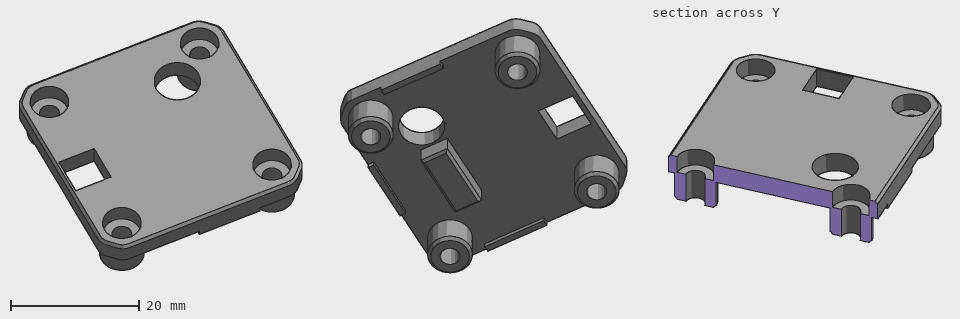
import cadquery as cq

LENGTH_X = 35.03
LENGTH_Y = 35.13
TOTAL_HEIGHT = 8.25
PLATE_THICKNESS = 3.35
CORNER_CUT = 2.7
CORNER_RADIUS = 2.5
TOP_CHAMFER = 0.45

POST_PITCH = 26.0
POST_DIAMETER = 7.0
POST_CHAMFER = 0.5
SCREW_DIAMETER = 3.1
HEAD_DIAMETER = 6.0
HEAD_DEPTH = 3.0

ROUND_OPENING_DIAMETER = 7.2
ROUND_OPENING_CENTER = (-7.95, 6.7)
SQUARE_OPENING_SIDE = 6.1
SQUARE_OPENING_CENTER = (1.2, -13.7)

BLOCK_LENGTH = 11.3
BLOCK_WIDTH = 4.7
BLOCK_HEIGHT = 3.2
BLOCK_CENTER = (1.65, 6.65)
BLOCK_CHAMFER = 0.45

LIP_LENGTH = 10.5
LIP_DEPTH = 0.8
LIP_WIDTH = 1.0
SIDE_LIP_CENTER_Y = 3.5
BACK_LIP_CENTER_X = -0.2

PLATE_BOTTOM = TOTAL_HEIGHT - PLATE_THICKNESS


def make_plate():
    """Square plate with cut and rounded corners, chamfered around its top."""
    plate = (
        cq.Workplane("XY", origin=(0, 0, PLATE_BOTTOM))
        .rect(LENGTH_X, LENGTH_Y)
        .extrude(PLATE_THICKNESS)
    )
    plate = plate.edges("|Z").chamfer(CORNER_CUT)
    plate = plate.edges("|Z").fillet(CORNER_RADIUS)
    return plate.faces(">Z").chamfer(TOP_CHAMFER)


def box_below_plate(center, size_x, size_y, height):
    """Box hanging from the underside of the plate."""
    return (
        cq.Workplane("XY", origin=(center[0], center[1], PLATE_BOTTOM))
        .rect(size_x, size_y)
        .extrude(-height)
    )


def make_posts():
    """Four round posts reaching down to Z = 0."""
    posts = (
        cq.Workplane("XY")
        .rect(POST_PITCH, POST_PITCH, forConstruction=True)
        .vertices()
        .circle(POST_DIAMETER / 2)
        .extrude(PLATE_BOTTOM)
    )
    return posts.faces("<Z").chamfer(POST_CHAMFER)


def make_block():
    """Block under the plate, chamfered around its lower face."""
    block = box_below_plate(BLOCK_CENTER, BLOCK_LENGTH, BLOCK_WIDTH, BLOCK_HEIGHT)
    return block.faces("<Z").chamfer(BLOCK_CHAMFER)


def add_lips(body):
    """Shallow lips flush with the -X, +X and +Y edges of the plate."""
    side_x = (LENGTH_X - LIP_WIDTH) / 2
    back_y = (LENGTH_Y - LIP_WIDTH) / 2
    for x in (-side_x, side_x):
        body = body.union(box_below_plate((x, SIDE_LIP_CENTER_Y), LIP_WIDTH, LIP_LENGTH, LIP_DEPTH))
    return body.union(box_below_plate((BACK_LIP_CENTER_X, back_y), LIP_LENGTH, LIP_WIDTH, LIP_DEPTH))


def cut_screw_holes(body):
    """Counterbored screw hole through each post, with the head sunk from the top."""
    return (
        body.faces(">Z")
        .workplane(origin=(0, 0, TOTAL_HEIGHT))
        .rect(POST_PITCH, POST_PITCH, forConstruction=True)
        .vertices()
        .cboreHole(SCREW_DIAMETER, HEAD_DIAMETER, HEAD_DEPTH)
    )


def cut_openings(body):
    """Round and square openings straight through the plate."""
    base_plane = cq.Workplane("XY")
    round_opening = (
        base_plane.center(*ROUND_OPENING_CENTER)
        .circle(ROUND_OPENING_DIAMETER / 2)
        .extrude(TOTAL_HEIGHT)
    )
    square_opening = (
        base_plane.center(*SQUARE_OPENING_CENTER)
        .rect(SQUARE_OPENING_SIDE, SQUARE_OPENING_SIDE)
        .extrude(TOTAL_HEIGHT)
    )
    return body.cut(round_opening).cut(square_opening)


body = make_plate().union(make_posts()).union(make_block())
body = add_lips(body)
body = cut_screw_holes(body)
result = cut_openings(body)